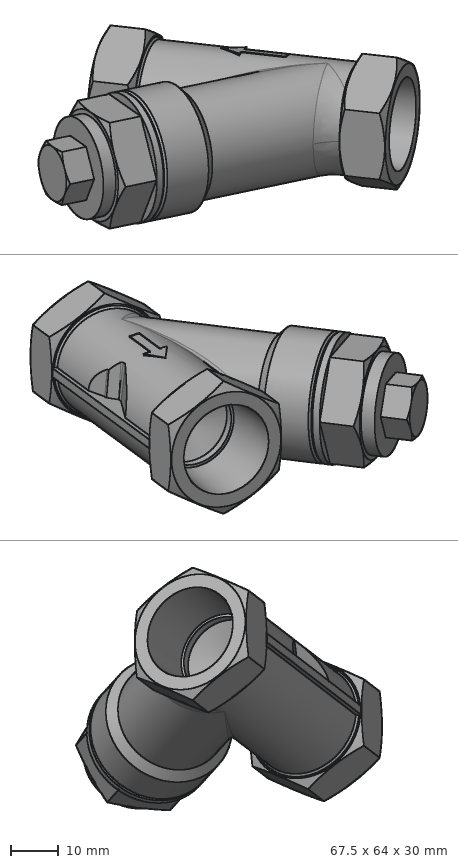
import cadquery as cq
import math


pipe_diameter = 24.0
pipe_radius = pipe_diameter / 2
body_length = 65.0
outlet_end_x = 16.5 - body_length
inlet_end_x = outlet_end_x + body_length
end_hex_corners = 30.0
end_hex_flats = end_hex_corners * math.cos(math.pi / 6)
end_hex_length = 10.05
end_hex_face_diameter = 25.7
neck_bevel = 0.5
end_hex_chamfer_angle = 30

socket_mouth_diameter = 19.9
socket_inner_diameter = 18.7
socket_depth = 14.85
bore_diameter = 17.5
bore_depth = 16.9
bore_point_angle = 118

collar_diameter = 28.0
collar_bevel = (collar_diameter - pipe_diameter) / 2
collar_bevel_start = 33.95
joint_distance = 46.2
joint_chamfer = 0.5
wide_blend_radius = pipe_radius
tight_blend_radius = 1.0

cap_flange_end = 48.25
cap_hex_flats = pipe_diameter
cap_hex_chamfer_angle = 22
cap_hex_end = 56.4
cap_disc_diameter = 22.0
cap_disc_end = 59.4
drive_hex_flats = 12.1
drive_hex_end = 65.5

web_thickness = 2
web_top_z = web_thickness / 2
web_outer_y = end_hex_flats / 2
web_inner_y = 10.8
notch_draft = 6.5
notch_floor = [
    (-25.5, pipe_radius),
    (-16.75, 8.6),
    (-15.8, 8.6),
    (-13.7, 10.4),
    (-12.9, 10.45),
    (-8.4, pipe_radius),
]

arrow_tip_x = -23.6
arrow_head_length = 4.8
arrow_head_width = 5.55
arrow_length = 14.45
arrow_shaft_width = 2.3
arrow_tilt = 7.5
arrow_rise = 0.15
arrow_root = 1.0

pipe_start = cq.Plane(origin=(outlet_end_x, 0, 0), xDir=(0, 0, 1), normal=(1, 0, 0))
pipe_end = cq.Plane(origin=(inlet_end_x, 0, 0), xDir=(0, 0, 1), normal=(-1, 0, 0))


def branch_plane(distance):
    """Plane square to the branch axis, at a distance from the origin."""
    along = -distance / math.sqrt(2)
    return cq.Plane(origin=(along, along, 0), xDir=(1, -1, 0), normal=(-1, -1, 0))


def turned(plane, profile):
    """Solid of revolution about the plane's normal from (radius, height) points."""
    axis_plane = cq.Plane(origin=plane.origin, xDir=plane.xDir, normal=-plane.yDir)
    return cq.Workplane(axis_plane).polyline(profile).close().revolve(360, (0, 0, 0), (0, 1, 0))


def hex_prism(plane, across_flats, length, face_diameter, chamfer_angle, both_ends):
    """Hexagonal prism with conically chamfered corners at its far end, or at both ends."""
    corner_radius = across_flats / 2 / math.cos(math.pi / 6)
    face_radius = face_diameter / 2
    drop = (corner_radius - face_radius) * math.tan(math.radians(chamfer_angle))
    start = [(0, 0), (corner_radius, 0)]
    if both_ends:
        start = [(0, 0), (face_radius, 0), (corner_radius, drop)]
    end = [(corner_radius, length - drop), (face_radius, length), (0, length)]
    prism = cq.Workplane(plane).polygon(6, 2 * corner_radius).extrude(length)
    return prism.intersect(turned(plane, start + end))


def neck_ring(plane):
    """45 degree cone between an end hexagon and the pipe."""
    inner_radius = pipe_radius - neck_bevel
    return turned(
        plane,
        [
            (inner_radius, end_hex_length),
            (pipe_radius + neck_bevel, end_hex_length),
            (inner_radius, end_hex_length + 2 * neck_bevel),
        ],
    )


def socket(plane):
    """Tapered socket followed by a plain bore with a conical bottom."""
    bore_radius = bore_diameter / 2
    point_depth = bore_depth + bore_radius / math.tan(math.radians(bore_point_angle / 2))
    return turned(
        plane,
        [
            (0, 0),
            (socket_mouth_diameter / 2, 0),
            (socket_inner_diameter / 2, socket_depth),
            (bore_radius, socket_depth),
            (bore_radius, bore_depth),
            (0, point_depth),
        ],
    )


def blended_tee():
    """Pipe and branch of equal diameter with their crease rounded on both sides."""
    seam_plane = cq.Plane(origin=pipe_start.origin, xDir=(0, -1, 0), normal=(1, 0, 0))
    pipe = cq.Workplane(seam_plane).circle(pipe_radius).extrude(body_length)
    branch = cq.Workplane(branch_plane(0)).circle(pipe_radius).extrude(joint_distance)
    tee = pipe.union(branch).val()

    creases = [edge for edge in tee.Edges() if edge.geomType() == "ELLIPSE"]
    wide_side = [edge for edge in creases if edge.Center().x > 0]
    tee = tee.fillet(wide_blend_radius, wide_side)

    mitre_length = pipe_radius / math.tan(math.pi / 8)
    tight_side = [
        edge
        for edge in tee.Edges()
        if edge.geomType() == "ELLIPSE" and -mitre_length < edge.Center().x < -mitre_length / 3
        and edge.Center().y > -pipe_radius * 2 / 3
    ]
    return cq.Workplane(tee.fillet(tight_blend_radius, tight_side))


def branch_collar():
    """Thicker end of the branch, bevelled at its root and chamfered at the joint."""
    radius = collar_diameter / 2
    length = joint_distance - collar_bevel_start
    return turned(
        branch_plane(collar_bevel_start),
        [
            (0, 0),
            (pipe_radius, 0),
            (radius, collar_bevel),
            (radius, length - joint_chamfer),
            (radius - joint_chamfer, length),
            (0, length),
        ],
    )


def side_web():
    """Thin web joining the two end hexagons along the pipe's +Y side."""
    span = body_length - 2 * end_hex_length
    return cq.Workplane("XY").box(span, web_outer_y - web_inner_y, web_thickness).translate(
        (outlet_end_x + body_length / 2, (web_outer_y + web_inner_y) / 2, 0)
    )


def side_notch():
    """Drafted notch in the pipe wall with its floor level with the web's top."""
    outside_y = web_outer_y + 0.7
    outline = [(notch_floor[0][0], outside_y)] + notch_floor + [(notch_floor[-1][0], outside_y)]
    return (
        cq.Workplane("XY", origin=(0, 0, web_top_z))
        .polyline(outline)
        .close()
        .extrude(pipe_radius, taper=-notch_draft)
    )


def flow_arrow():
    """Raised arrow pointing to the outlet."""
    head_x = arrow_tip_x + arrow_head_length
    tail_x = arrow_tip_x + arrow_length
    half_head = arrow_head_width / 2
    half_shaft = arrow_shaft_width / 2
    return (
        cq.Workplane("XY", origin=(0, 0, pipe_radius - arrow_root))
        .polyline(
            [
                (arrow_tip_x, 0),
                (head_x, half_head),
                (head_x, half_shaft),
                (tail_x, half_shaft),
                (tail_x, -half_shaft),
                (head_x, -half_shaft),
                (head_x, -half_head),
            ]
        )
        .close()
        .extrude(arrow_root + arrow_rise)
        .rotate((0, 0, 0), (1, 0, 0), -arrow_tilt)
    )


def make_housing():
    body = blended_tee().union(branch_collar()).union(side_web())
    for plane in (pipe_start, pipe_end):
        end_hex = hex_prism(
            plane, end_hex_flats, end_hex_length, end_hex_face_diameter, end_hex_chamfer_angle, True
        )
        body = body.union(end_hex.union(neck_ring(plane)))
    body = body.cut(side_notch()).union(flow_arrow())
    for plane in (pipe_start, pipe_end):
        body = body.cut(socket(plane))
    return body


def cap_hex(start, end, across_flats):
    """Hexagon on the branch axis, its outer face chamfered down to the flats."""
    plane = branch_plane(start)
    return hex_prism(plane, across_flats, end - start, across_flats, cap_hex_chamfer_angle, False)


def make_cap():
    """Screw cap: chamfered flange, large hexagon, disc and small drive hexagon."""
    flange_radius = collar_diameter / 2
    flange_length = cap_flange_end - joint_distance
    flange = turned(
        branch_plane(joint_distance),
        [
            (0, 0),
            (flange_radius - joint_chamfer, 0),
            (flange_radius, joint_chamfer),
            (flange_radius, flange_length),
            (0, flange_length),
        ],
    )
    large_hex = cap_hex(cap_flange_end, cap_hex_end, cap_hex_flats)
    disc = cq.Workplane(branch_plane(cap_hex_end)).circle(cap_disc_diameter / 2)
    disc = disc.extrude(cap_disc_end - cap_hex_end)
    drive_hex = cap_hex(cap_disc_end, drive_hex_end, drive_hex_flats)
    return flange.union(large_hex).union(disc).union(drive_hex)


housing = make_housing()
cap = make_cap()
result = cq.Compound.makeCompound([housing.val(), cap.val()])